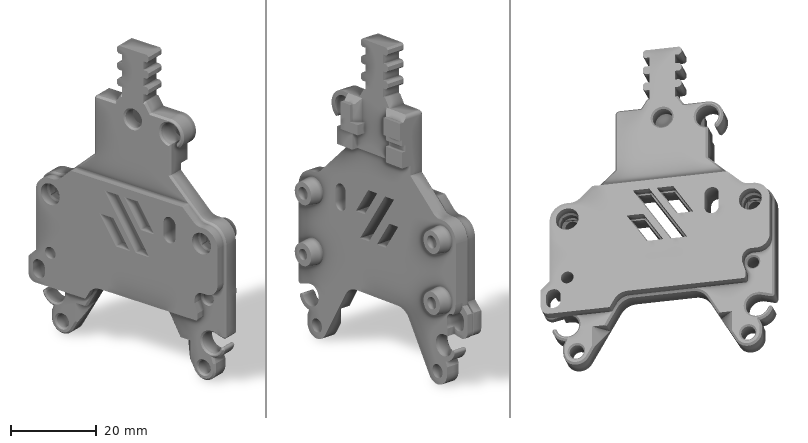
import cadquery as cq
import math


COVER_THICKNESS = 2.4
PLATE_THICKNESS = 4.1
TOWER_THICKNESS = 5.1
PAD_REAR = 7.5
LEDGE_REAR = 6.75
EDGE_CHAMFER = 0.5
BORE_CHAMFER = 0.4

TOTAL_HEIGHT = 79.45
STEM_HALF_WIDTH = 3.06
TOOTH_HALF_WIDTH = 4.6
TOOTH_HEIGHT = 2.0
TOOTH_PITCH = 4.2
TOOTH_COUNT = 3
TOOTH_CHAMFER = 0.5
STEM_ROOT_DEPTH = 1.6

TOWER_LEFT = -11.3
TOWER_RIGHT = 10.9
TOWER_TOP = 64.6
TOWER_CORNER_RADIUS = 0.95
SHOULDER_TOP = 66.9
SHOULDER_TOP_HALF_WIDTH = 3.65
SHOULDER_FOOT_HALF_WIDTH = 5.2
TOWER_FOOT_LEFT = 49.35
TOWER_FOOT_RIGHT = 50.1
THICK_BOTTOM = 51.8
MAGNET_HEIGHT = 61.6
MAGNET_DIAMETER = 4.7
MAGNET_DEPTH = 3.2

PAD_TOP = 63.1
PAD_BOTTOM = 58.8
PAD_INNER_FOOT = 4.1
PAD_INNER_TOP = 5.7
PAD_RIGHT_END = 8.9
CLIP_INNER = 3.1
CLIP_BOTTOM = 56.25
NOTCH_BOTTOM = 55.8
NOTCH_TOP = 57.3
NOTCH_DEPTH = 1.0

PLATE_LEFT = -26.85
PLATE_RIGHT = 26.85
LUG_TOP = 41.25
LUG_RADIUS = 4.6
LUG_BLEND = 3.2
SLOPE_FOOT_LEFT = -20.1
SLOPE_FOOT_RIGHT = 20.35
PLATE_BOTTOM = 12.0
NOTCH_CREST = 13.0
PLATE_CORNER_RADIUS = 0.6

POST_LEFT = -22.2
POST_RIGHT = 21.8
POST_UPPER = 36.6
POST_LOWER = 21.45
POST_FOOT_DIAMETER = 6.6
POST_TIP_DIAMETER = 5.65
HEAD_DIAMETER = 4.7
HEAD_DEPTH = 2.0
SQUARE_SIDE = 3.6
SQUARE_DEPTH = 0.4
SCREW_DIAMETER = 3.2
LOWER_LEFT_DIAMETER = 3.0
LOWER_RIGHT_DIAMETER = 2.8

LEG_X = 20.6
LEG_Z = 3.25
LEG_RADIUS = 3.25
LEG_HOLE_DIAMETER = 3.4
LEG_OUTER = 23.2
LEG_NECK = 6.7
LEG_FLARE = 1.6
OPENING_TOP = 15.8
OPENING_SLOPE = 60.0
OPENING_RADIUS = 4.2
WEDGE_HINGE = 16.8
WEDGE_TOP = 9.2

HOOK_BORE_RADIUS = 2.74
HOOK_OUTER_RADIUS = 3.85
TOP_HOOK = (10.7, 60.8)
LOW_HOOKS = [(-22.7, 10.25), (22.7, 10.25)]
HOOK_LIP_ANGLE = 9.0

EAR_LEFT = -28.5
EAR_SHOULDER = 18.9
EAR_RADIUS = 2.0
EAR_REAR = 2.0
EAR_SLOT = (-25.5, 16.4)
EAR_SLOT_WIDTH = 3.5
EAR_SLOT_LENGTH = 4.85
EAR_RELIEF_X = -24.0

COVER_TOP = 44.5
COVER_TOP_HALF_WIDTH = 16.2
COVER_TOP_RADIUS = 0.4
COVER_BOTTOM = 12.55
COVER_STEP = 23.8
COVER_STEP_RADIUS = 3.2
COVER_HEAD_DIAMETER = 5.5
RECESS_X = 19.8
RECESS_RADIUS = 2.2
RECESS_BOTTOM = 20.65
TONGUE_X = 20.6
TONGUE_TOP = 18.2
TONGUE_RADIUS = 0.5
SLOT_CENTRE = (12.5, 37.4)
SLOT_WIDTH = 3.4
SLOT_LENGTH = 6.75

WINDOW_TOP = 42.2
WINDOW_BOTTOM = 28.7
WINDOW_MIDDLE_HIGH = 35.05
WINDOW_MIDDLE_LOW = 35.8
WINDOW_WIDTH = 4.0
WINDOW_LONG_LEFT = -6.4
WINDOW_PITCH = 5.7
WINDOW_SLANT = 0.67
WINDOW_INSET = 0.4


def front_plane(y=0.0):
    """Workplane at depth y, drawn in X and Z; negative extrusions run toward +Y."""
    return cq.Workplane("XZ", origin=(0, y, 0))


def box(x0, x1, y0, y1, z0, z1):
    return cq.Workplane("XY").box(x1 - x0, y1 - y0, z1 - z0, centered=False).translate((x0, y0, z0))


def cylinder(centre, diameter, y0, y1):
    return front_plane(y0).center(*centre).circle(diameter / 2).extrude(y0 - y1)


def cone(centre, diameter0, diameter1, y0, y1):
    x, z = centre
    solid = cq.Solid.makeCone(
        diameter0 / 2, diameter1 / 2, y1 - y0, cq.Vector(x, y0, z), cq.Vector(0, 1, 0)
    )
    return cq.Workplane(solid)


def chamfered_bore(centre, diameter, depth):
    mouth = cone(centre, diameter + 2 * BORE_CHAMFER, diameter, 0, BORE_CHAMFER)
    return cylinder(centre, diameter, 0, depth).union(mouth)


def upright_slot(centre, width, length, y0, y1):
    return front_plane(y0).center(*centre).slot2D(length, width, 90).extrude(y0 - y1)


def rounded_outline(corners, y0, y1):
    """Prism from y0 to y1 over corners (x, z, radius); a radius of 0 keeps the corner sharp."""
    sketch = front_plane(y0)
    for i, (x, z, radius) in enumerate(corners):
        before = corners[i - 1]
        after = corners[(i + 1) % len(corners)]
        here = cq.Vector(x, z, 0)
        back = (cq.Vector(before[0], before[1], 0) - here).normalized()
        ahead = (cq.Vector(after[0], after[1], 0) - here).normalized()
        half_angle = back.getAngle(ahead) / 2
        run = radius / math.tan(half_angle)
        start = here + back * run
        sketch = sketch.moveTo(start.x, start.y) if i == 0 else sketch.lineTo(start.x, start.y)
        if radius:
            bisector = (back + ahead).normalized()
            middle = here + bisector * (radius / math.sin(half_angle) - radius)
            end = here + ahead * run
            sketch = sketch.threePointArc((middle.x, middle.y), (end.x, end.y))
    return sketch.close().extrude(y0 - y1)


def opening_edge_x(z, inset=0.0):
    """Half-width of the opening between the legs at height z, widened by inset."""
    slope = math.radians(OPENING_SLOPE)
    tangent_x = LEG_X - LEG_RADIUS * math.sin(slope)
    tangent_z = LEG_Z - LEG_RADIUS * math.cos(slope)
    return tangent_x - (z - tangent_z) / math.tan(slope) + inset / math.sin(slope)


def windows(y0, y1, inset):
    """The three slanted windows as prisms, each side moved inward by inset."""
    short_drop = WINDOW_TOP - WINDOW_MIDDLE_LOW
    spans = [
        (WINDOW_LONG_LEFT, WINDOW_TOP, WINDOW_BOTTOM, 0),
        (WINDOW_LONG_LEFT + WINDOW_PITCH, WINDOW_TOP, WINDOW_MIDDLE_HIGH, 0),
        (WINDOW_LONG_LEFT - WINDOW_PITCH, WINDOW_MIDDLE_LOW, WINDOW_BOTTOM, short_drop),
    ]
    tools = cq.Workplane("XZ")
    for left, top, bottom, drop in spans:
        upper = left + drop * WINDOW_SLANT
        lower = upper + (top - bottom) * WINDOW_SLANT
        corners = [
            (upper, top),
            (upper + WINDOW_WIDTH, top),
            (lower + WINDOW_WIDTH, bottom),
            (lower, bottom),
        ]
        outline = front_plane(y0).polyline(corners).close()
        if inset:
            outline = outline.offset2D(-inset)
        tools = tools.add(outline.extrude(y0 - y1))
    return tools.combine()


def hook_arm(centre, tip_angle, root_angle, depth):
    """Sector from a rounded tip to the root, in degrees; the bore later turns it into an arm."""
    cx, cz = centre

    def at(radius, angle):
        a = math.radians(angle)
        return (cx + radius * math.cos(a), cz + radius * math.sin(a))

    middle_angle = (tip_angle + root_angle) / 2
    lip_angle = tip_angle - math.copysign(HOOK_LIP_ANGLE, root_angle - tip_angle)
    lip_radius = (HOOK_BORE_RADIUS + HOOK_OUTER_RADIUS) / 2
    return (
        front_plane(EDGE_CHAMFER)
        .moveTo(*centre)
        .lineTo(*at(HOOK_BORE_RADIUS, tip_angle))
        .threePointArc(at(lip_radius, lip_angle), at(HOOK_OUTER_RADIUS, tip_angle))
        .threePointArc(at(HOOK_OUTER_RADIUS, middle_angle), at(HOOK_OUTER_RADIUS, root_angle))
        .close()
        .extrude(EDGE_CHAMFER - depth)
    )


def bevel_front(body):
    """Extend the front face of body forward with a 45 degree bevelled rim."""
    return body.faces("<Y").wires().toPending().extrude(EDGE_CHAMFER, taper=45)


def plate_blank(depth):
    """Plate outline with its still unbored hooks, as a prism from Y = 0 to depth."""
    opening_x = opening_edge_x(OPENING_TOP)
    leg_side = LEG_X + LEG_RADIUS
    leg_corner = OPENING_TOP - (leg_side - opening_x) * math.tan(math.radians(OPENING_SLOPE))
    blank = rounded_outline(
        [
            (-SHOULDER_TOP_HALF_WIDTH, SHOULDER_TOP, 0),
            (SHOULDER_TOP_HALF_WIDTH, SHOULDER_TOP, 0),
            (SHOULDER_FOOT_HALF_WIDTH, TOWER_TOP, 0),
            (TOWER_RIGHT, TOWER_TOP, 0),
            (TOWER_RIGHT, TOWER_FOOT_RIGHT, 0),
            (SLOPE_FOOT_RIGHT, LUG_TOP, LUG_BLEND),
            (PLATE_RIGHT, LUG_TOP, LUG_RADIUS),
            (PLATE_RIGHT, PLATE_BOTTOM, PLATE_CORNER_RADIUS),
            (LEG_OUTER, NOTCH_CREST, 0),
            (LEG_OUTER, LEG_NECK, 0),
            (leg_side, LEG_NECK - LEG_FLARE, 0),
            (leg_side, leg_corner, LEG_RADIUS),
            (opening_x, OPENING_TOP, OPENING_RADIUS),
            (-opening_x, OPENING_TOP, OPENING_RADIUS),
            (-leg_side, leg_corner, LEG_RADIUS),
            (-leg_side, LEG_NECK - LEG_FLARE, 0),
            (-LEG_OUTER, LEG_NECK, 0),
            (-LEG_OUTER, NOTCH_CREST, 0),
            (EAR_LEFT, PLATE_BOTTOM, EAR_RADIUS),
            (EAR_LEFT, EAR_SHOULDER, 0),
            (PLATE_LEFT, EAR_SHOULDER + PLATE_LEFT - EAR_LEFT, 0),
            (PLATE_LEFT, LUG_TOP, LUG_RADIUS),
            (SLOPE_FOOT_LEFT, LUG_TOP, LUG_BLEND),
            (TOWER_LEFT, TOWER_FOOT_LEFT, 0),
            (TOWER_LEFT, TOWER_TOP, TOWER_CORNER_RADIUS),
            (-SHOULDER_FOOT_HALF_WIDTH, TOWER_TOP, 0),
        ],
        EDGE_CHAMFER,
        depth,
    )
    arms = [
        hook_arm(TOP_HOOK, -48, 110, depth),
        hook_arm(LOW_HOOKS[0], 197, 285, depth),
        hook_arm(LOW_HOOKS[1], -17, -105, depth),
    ]
    blank = bevel_front(blank)
    for arm in arms:
        blank = blank.union(bevel_front(arm))
    return blank


def stem():
    bottom = TOWER_TOP - STEM_ROOT_DEPTH
    body = box(-STEM_HALF_WIDTH, STEM_HALF_WIDTH, 0, TOWER_THICKNESS, bottom, TOTAL_HEIGHT)
    for i in range(TOOTH_COUNT):
        top = TOTAL_HEIGHT - i * TOOTH_PITCH
        tooth = box(
            -TOOTH_HALF_WIDTH, TOOTH_HALF_WIDTH, 0, TOWER_THICKNESS, top - TOOTH_HEIGHT, top
        )
        body = body.union(tooth.edges("|Y").chamfer(TOOTH_CHAMFER))
    return body


def wedge_cut(side):
    """45 degree flat that falls away from the front face toward the opening."""
    reach = PLATE_THICKNESS
    return (
        cq.Workplane("XY")
        .moveTo(side * WEDGE_HINGE, 0)
        .lineTo(side * (WEDGE_HINGE - reach), 0)
        .lineTo(side * (WEDGE_HINGE - reach), reach)
        .close()
        .extrude(WEDGE_TOP)
    )


def pad_body():
    """Rear pads on both sides of the cable channel, before trimming to the tower outline."""
    y0 = PLATE_THICKNESS
    left_section = [
        (TOWER_LEFT, y0),
        (-PAD_INNER_FOOT, y0),
        (-PAD_INNER_FOOT, TOWER_THICKNESS),
        (-PAD_INNER_TOP, LEDGE_REAR),
        (-PAD_INNER_TOP, PAD_REAR),
        (TOWER_LEFT, PAD_REAR),
    ]
    right_section = [(-x, y) for x, y in left_section[1:5]]
    right_section += [(PAD_RIGHT_END, PAD_REAR), (PAD_RIGHT_END, y0)]
    pads = cq.Workplane("XY", origin=(0, 0, PAD_BOTTOM)).polyline(left_section).close()
    pads = pads.extrude(TOWER_TOP - PAD_BOTTOM)
    right = cq.Workplane("XY", origin=(0, 0, CLIP_BOTTOM)).polyline(right_section).close()
    pads = pads.union(right.extrude(TOWER_TOP - CLIP_BOTTOM))
    slope_run = TOWER_TOP - EDGE_CHAMFER / 2 - PAD_TOP
    lead_in = (
        cq.Workplane("YZ", origin=(TOWER_LEFT, 0, 0))
        .moveTo(TOWER_THICKNESS, TOWER_TOP)
        .lineTo(TOWER_THICKNESS + slope_run, PAD_TOP)
        .lineTo(PAD_REAR, PAD_TOP)
        .lineTo(PAD_REAR, TOWER_TOP)
        .close()
        .extrude(TOWER_RIGHT - TOWER_LEFT)
    )
    pads = pads.cut(lead_in)
    pads = pads.union(box(TOWER_LEFT, -PAD_INNER_TOP, y0, LEDGE_REAR, THICK_BOTTOM, PAD_BOTTOM))
    pads = pads.union(box(PAD_INNER_TOP, TOWER_RIGHT, y0, LEDGE_REAR, THICK_BOTTOM, CLIP_BOTTOM))
    pads = pads.union(box(CLIP_INNER, PAD_INNER_TOP, y0, PAD_REAR, CLIP_BOTTOM, PAD_BOTTOM))
    notch_floor = LEDGE_REAR - NOTCH_DEPTH
    return pads.cut(
        box(TOWER_LEFT, -PAD_INNER_TOP, notch_floor, LEDGE_REAR, NOTCH_BOTTOM, NOTCH_TOP)
    )


def post_centres():
    return [(x, z) for z in (POST_UPPER, POST_LOWER) for x in (POST_LEFT, POST_RIGHT)]


def upper_post_bore(centre):
    """Head recess, a square step and the screw hole behind it."""
    x, z = centre
    half = SQUARE_SIDE / 2
    square = box(x - half, x + half, 0, HEAD_DEPTH + SQUARE_DEPTH, z - half, z + half)
    bore = chamfered_bore(centre, HEAD_DIAMETER, HEAD_DEPTH)
    return bore.union(square).union(cylinder(centre, SCREW_DIAMETER, 0, PAD_REAR))


def ear_relief():
    """Space behind the ear, cleared around the lower left post."""
    relief = box(EAR_LEFT, EAR_RELIEF_X, EAR_REAR, PAD_REAR, PLATE_BOTTOM, POST_LOWER)
    boss = cylinder((POST_LEFT, POST_LOWER), 2 * LUG_RADIUS, EAR_REAR, PAD_REAR)
    return relief.cut(boss)


def carrier_plate():
    plate = plate_blank(PLATE_THICKNESS)
    thick = plate_blank(PAD_REAR)
    upper = box(
        PLATE_LEFT, PLATE_RIGHT, PLATE_THICKNESS, TOWER_THICKNESS, THICK_BOTTOM, TOTAL_HEIGHT
    )
    plate = plate.union(thick.intersect(upper.union(pad_body())))
    plate = plate.union(stem())
    for hook in (TOP_HOOK, *LOW_HOOKS):
        plate = plate.cut(chamfered_bore(hook, 2 * HOOK_BORE_RADIUS, TOWER_THICKNESS))
    plate = plate.cut(ear_relief())
    for centre in post_centres():
        plate = plate.union(
            cone(centre, POST_FOOT_DIAMETER, POST_TIP_DIAMETER, PLATE_THICKNESS, PAD_REAR)
        )
    for x in (POST_LEFT, POST_RIGHT):
        plate = plate.cut(upper_post_bore((x, POST_UPPER)))
    plate = plate.cut(chamfered_bore((POST_RIGHT, POST_LOWER), LOWER_RIGHT_DIAMETER, PAD_REAR))
    plate = plate.cut(cylinder((POST_LEFT, POST_LOWER), LOWER_LEFT_DIAMETER, 0, PAD_REAR))
    for side in (-1, 1):
        plate = plate.cut(wedge_cut(side))
        plate = plate.cut(chamfered_bore((side * LEG_X, LEG_Z), LEG_HOLE_DIAMETER, PLATE_THICKNESS))
    plate = plate.cut(chamfered_bore((0, MAGNET_HEIGHT), MAGNET_DIAMETER, MAGNET_DEPTH))
    plate = plate.cut(upright_slot(SLOT_CENTRE, SLOT_WIDTH, SLOT_LENGTH, 0, PLATE_THICKNESS))
    plate = plate.cut(upright_slot(EAR_SLOT, EAR_SLOT_WIDTH, EAR_SLOT_LENGTH, 0, PLATE_THICKNESS))
    return plate.cut(windows(0, PLATE_THICKNESS, WINDOW_INSET))


def cover_blank():
    inset = EDGE_CHAMFER
    left = PLATE_LEFT + inset
    right = PLATE_RIGHT - inset
    lug_top = LUG_TOP - inset
    bottom = OPENING_TOP + inset
    ear_top = EAR_SHOULDER + left - EAR_LEFT
    return rounded_outline(
        [
            (-COVER_TOP_HALF_WIDTH, COVER_TOP, COVER_TOP_RADIUS),
            (COVER_TOP_HALF_WIDTH, COVER_TOP, COVER_TOP_RADIUS),
            (SLOPE_FOOT_RIGHT, lug_top, LUG_BLEND),
            (right, lug_top, LUG_RADIUS - inset),
            (right, COVER_STEP, COVER_STEP_RADIUS),
            (RECESS_X, COVER_STEP, RECESS_RADIUS),
            (RECESS_X, RECESS_BOTTOM, 0),
            (TONGUE_X, TONGUE_TOP, 0),
            (TONGUE_X, bottom, TONGUE_RADIUS),
            (-opening_edge_x(bottom, inset), bottom, OPENING_RADIUS - inset),
            (-opening_edge_x(COVER_BOTTOM, inset), COVER_BOTTOM, 0),
            (EAR_LEFT, COVER_BOTTOM, EAR_RADIUS),
            (EAR_LEFT, EAR_SHOULDER, 0),
            (left, ear_top, 0),
            (left, lug_top, LUG_RADIUS - inset),
            (SLOPE_FOOT_LEFT, lug_top, LUG_BLEND),
        ],
        -COVER_THICKNESS,
        0,
    )


def front_cover():
    front = -COVER_THICKNESS
    cover = cover_blank()
    for x in (POST_LEFT, POST_RIGHT):
        cover = cover.cut(cylinder((x, POST_UPPER), COVER_HEAD_DIAMETER, front, 0))
    cover = cover.cut(cylinder((POST_LEFT, POST_LOWER), LOWER_LEFT_DIAMETER, front, 0))
    cover = cover.cut(upright_slot(SLOT_CENTRE, SLOT_WIDTH, SLOT_LENGTH, front, 0))
    cover = cover.cut(upright_slot(EAR_SLOT, EAR_SLOT_WIDTH, EAR_SLOT_LENGTH, front, 0))
    return cover.cut(windows(front, 0, 0))


plate = carrier_plate()
cover = front_cover()
result = cq.Compound.makeCompound([plate.val(), cover.val()])